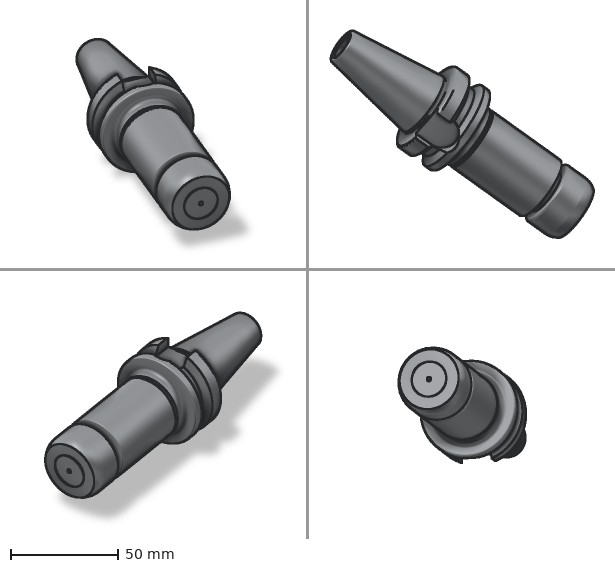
import cadquery as cq
import math


taper_ratio = 7 / 24
small_end_diameter = 17.6
small_end_round = 1.1
taper_length = 48.2
relief_cone_length = 1.4
relief_radius = 15.5
relief_fillet = 0.8

flange_diameter = 46.0
flange_start = taper_length + relief_cone_length + relief_fillet
front_rim_length = 7.4
groove_diameter = 38.0
groove_floor_width = 3.5
groove_side_length = 2.5
rear_rim_length = 4.3
flange_fillet = 2.8
edge_round = 1.0

body_diameter = 32.1
undercut_radius = 15.0
undercut_chamfer = 0.8
undercut_width = 0.8
body_start = 77.2
body_end = 118.3
body_end_round = 0.7

neck_diameter = 22.0
nut_start = 121.5
nut_front_round = 1.1
nut_end = 138.5
nut_nose_start = 133.0
nut_nose_radius = 9.0
collet_diameter = 16.7
overall_length = 138.8

slot_width = 16.2
slot_floor_height = 16.1
slot_end = 67.5

mouth_diameter = 13.7
mouth_chamfer_length = 0.8
pilot_diameter = 12.5
pilot_end = 5.0
pilot_cone_length = 0.4
step_diameter = 12.0
step_end = 6.1
thread_lead_length = 1.0
thread_diameter = 10.4
thread_end = 24.0
drill_cone_length = 1.2
drill_cone_diameter = 6.1
through_diameter = 2.0

flange_radius = flange_diameter / 2
groove_radius = groove_diameter / 2
body_radius = body_diameter / 2
neck_radius = neck_diameter / 2
small_end_radius = small_end_diameter / 2


def arc_to(profile, center, radius, start_angle, end_angle):
    """Continue the profile with an arc about center, given by its angles in degrees."""
    points = []
    for angle in ((start_angle + end_angle) / 2, end_angle):
        turn = math.radians(angle)
        points.append((center[0] + radius * math.cos(turn), center[1] + radius * math.sin(turn)))
    return profile.threePointArc(*points)


def round_front_edge(profile, face_x, outer_radius, size):
    """Rise along a face looking toward -X and round over onto the cylinder."""
    profile = profile.lineTo(face_x, outer_radius - size)
    return arc_to(profile, (face_x + size, outer_radius - size), size, 180, 90)


def round_rear_edge(profile, face_x, outer_radius, size):
    """Run along the cylinder and round over onto a face looking toward +X."""
    profile = profile.lineTo(face_x - size, outer_radius)
    return arc_to(profile, (face_x - size, outer_radius - size), size, 90, 0)


def add_taper(profile):
    rim_radius = small_end_radius + small_end_round * taper_ratio / 2
    profile = round_front_edge(profile, 0, rim_radius, small_end_round)
    profile = profile.lineTo(taper_length, small_end_radius + taper_length * taper_ratio / 2)
    profile = profile.lineTo(flange_start - relief_fillet, relief_radius)
    fillet_center = (flange_start - relief_fillet, relief_radius + relief_fillet)
    return arc_to(profile, fillet_center, relief_fillet, -90, 0)


def add_flange(profile):
    groove_start = flange_start + front_rim_length
    floor_start = groove_start + groove_side_length
    floor_end = floor_start + groove_floor_width
    groove_end = floor_end + groove_side_length
    flange_end = groove_end + rear_rim_length

    profile = round_front_edge(profile, flange_start, flange_radius, edge_round)
    profile = profile.lineTo(groove_start, flange_radius)
    profile = profile.lineTo(floor_start, groove_radius)
    profile = profile.lineTo(floor_end, groove_radius)
    profile = profile.lineTo(groove_end, flange_radius)
    profile = round_rear_edge(profile, flange_end, flange_radius, edge_round)

    fillet_center = (flange_end + flange_fillet, body_radius + flange_fillet)
    profile = profile.lineTo(flange_end, fillet_center[1])
    return arc_to(profile, fillet_center, flange_fillet, 180, 270)


def add_body(profile):
    undercut_start = body_start - undercut_width
    collar_end = undercut_start - undercut_chamfer
    profile = profile.lineTo(collar_end, body_radius)
    profile = profile.lineTo(undercut_start, undercut_radius)
    profile = profile.lineTo(body_start, undercut_radius)
    profile = profile.lineTo(body_start, body_radius)
    profile = round_rear_edge(profile, body_end, body_radius, body_end_round)
    return profile.lineTo(body_end, neck_radius)


def add_nut(profile):
    profile = profile.lineTo(nut_start, neck_radius)
    profile = round_front_edge(profile, nut_start, body_radius, nut_front_round)
    profile = profile.lineTo(nut_nose_start, body_radius)
    nose_center = (nut_nose_start, body_radius - nut_nose_radius)
    nose_end_angle = math.degrees(math.acos((nut_end - nut_nose_start) / nut_nose_radius))
    profile = arc_to(profile, nose_center, nut_nose_radius, 90, nose_end_angle)
    profile = profile.lineTo(nut_end, collet_diameter / 2)
    return profile.lineTo(overall_length, collet_diameter / 2)


def revolve_about_x(profile):
    return profile.close().revolve(360, (0, 0, 0), (1, 0, 0))


def make_holder():
    profile = cq.Workplane("XY").moveTo(0, 0)
    for add_section in (add_taper, add_flange, add_body, add_nut):
        profile = add_section(profile)
    return revolve_about_x(profile.lineTo(overall_length, 0))


def make_bore():
    drill_end = thread_end + drill_cone_length
    steps = [
        (0, mouth_diameter),
        (mouth_chamfer_length, pilot_diameter),
        (pilot_end, pilot_diameter),
        (pilot_end + pilot_cone_length, step_diameter),
        (step_end, step_diameter),
        (step_end + thread_lead_length, thread_diameter),
        (thread_end, thread_diameter),
        (drill_end, drill_cone_diameter),
        (drill_end, through_diameter),
        (overall_length, through_diameter),
    ]
    profile = cq.Workplane("XY").moveTo(0, 0)
    for x, diameter in steps:
        profile = profile.lineTo(x, diameter / 2)
    return revolve_about_x(profile.lineTo(overall_length, 0))


def make_drive_slot():
    """Round-ended slot open toward the taper, cut from its flat floor outward in +Z."""
    round_center = slot_end - slot_width / 2
    return (
        cq.Workplane("XY", origin=(0, 0, slot_floor_height))
        .moveTo(flange_start, -slot_width / 2)
        .lineTo(round_center, -slot_width / 2)
        .threePointArc((slot_end, 0), (round_center, slot_width / 2))
        .lineTo(flange_start, slot_width / 2)
        .close()
        .extrude(flange_radius - slot_floor_height)
    )


result = make_holder().cut(make_bore())
for slot_angle in (0, 180):
    slot = make_drive_slot().rotate((0, 0, 0), (1, 0, 0), slot_angle)
    result = result.cut(slot)